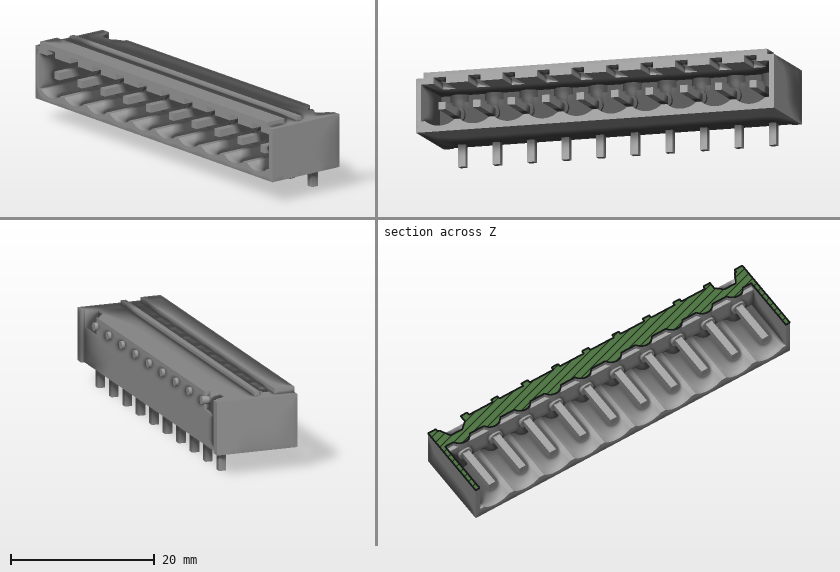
import cadquery as cq


length = 52.7
depth = 12.0
height = 7.7
rear_recess = 0.5
rear_face = depth - rear_recess

pin_count = 10
pin_row_length = 45.75
pitch = pin_row_length / (pin_count - 1)
pin_size = 1.05
pin_height = 3.85
pin_tip = 1.05
leg_axis = 10.0
leg_drop = 3.15

end_wall = 0.75
cavity_floor = 1.6
cavity_top = 6.8
cavity_depth = 8.7
cavity_width = length - 2 * end_wall
scallop_width = 4.3
scallop_depth = 0.8

column_width = 2.75
column_bulge = 0.85
column_radius = ((column_width / 2) ** 2 + column_bulge**2) / (2 * column_bulge)
column_axis = cavity_depth - column_bulge + column_radius
slot_width = 1.75
block_bottom = 2.35
block_top = 5.7
block_front = column_axis - (column_radius**2 - (slot_width / 2) ** 2) ** 0.5
collar_radius = 1.05
collar_rise = 0.2
collar_front = cavity_depth - column_bulge - collar_rise

window_width = 1.85
window_depth = 4.15
strip_inset = 1.05
strip_length = length - 2 * strip_inset
lip_depth = 3.0
lip_height = 0.8
rib_front = 5.2
rib_width = 0.8
rib_height = 0.65

ear_width = 1.35
notch_flat_start = 2.5
notch_flat_end = 4.4
notch_step_start = 5.4
notch_step_end = 5.95
notch_depth = 2.05
notch_step_depth = 1.15
notch_height = 2.65

peg_radius = 0.6
peg_height = 6.45

pin_places = [(i - (pin_count - 1) / 2) * pitch for i in range(pin_count)]
peg_places = [x + pitch / 2 for x in pin_places[:-1]]


def box(x_center, x_size, y_range, z_range):
    """Box centred in X and spanning the given Y and Z ranges."""
    return cq.Workplane("XY").box(
        x_size, y_range[1] - y_range[0], z_range[1] - z_range[0], centered=(True, False, False)
    ).translate((x_center, y_range[0], z_range[0]))


def rod(x, z, radius, y_range):
    """Round rod along Y."""
    plane = cq.Plane(origin=(x, y_range[0], z), xDir=(1, 0, 0), normal=(0, 1, 0))
    return cq.Workplane(plane).circle(radius).extrude(y_range[1] - y_range[0])


def scallop(x):
    """Shallow round trough in the cavity floor below one pin."""
    plane = cq.Plane(origin=(x, 0, cavity_floor), xDir=(1, 0, 0), normal=(0, -1, 0))
    half = scallop_width / 2
    return (
        cq.Workplane(plane)
        .moveTo(-half, 0)
        .threePointArc((0, -scallop_depth), (half, 0))
        .close()
        .extrude(-cavity_depth)
    )


def column(x):
    """Upright column that bulges from the back wall of the cavity behind one pin."""
    half = column_width / 2
    bottom = cavity_floor - scallop_depth
    return (
        cq.Workplane("XY", origin=(x, cavity_depth, bottom))
        .moveTo(-half, 0)
        .threePointArc((0, -column_bulge), (half, 0))
        .close()
        .extrude(cavity_top - bottom)
    )


def pin(x):
    """Square angled pin: horizontal contact with a vertical solder leg."""
    half = pin_size / 2
    contact = box(x, pin_size, (pin_tip, leg_axis + half), (pin_height - half, pin_height + half))
    leg = box(x, pin_size, (leg_axis - half, leg_axis + half), (-leg_drop, pin_height + half))
    return contact.union(leg)


def rear_notch():
    """Notch inboard of the ear at the -X end, with a small inner step."""
    end = -length / 2
    return (
        cq.Workplane("XY", origin=(end, depth, height - notch_height))
        .moveTo(ear_width, 0)
        .lineTo(notch_flat_start, -notch_depth)
        .lineTo(notch_flat_end, -notch_depth)
        .lineTo(notch_step_start, -notch_step_depth)
        .lineTo(notch_step_end, -notch_step_depth)
        .lineTo(notch_step_end, 0)
        .close()
        .extrude(notch_height)
    )


housing = box(0, length, (0, depth), (0, height))
housing = housing.cut(box(0, length - 2 * ear_width, (rear_face, depth), (0, height)))
notch = rear_notch()
housing = housing.cut(notch).cut(notch.mirror("YZ"))

housing = housing.cut(box(0, cavity_width, (0, cavity_depth), (cavity_floor, cavity_top)))
for x in pin_places:
    housing = housing.cut(scallop(x))
    housing = housing.cut(box(x, window_width, (0, window_depth), (cavity_top, height)))

housing = housing.union(box(0, strip_length, (0, lip_depth), (height, height + lip_height)))
housing = housing.union(
    box(0, strip_length, (rib_front, rib_front + rib_width), (height, height + rib_height))
)

block = box(0, cavity_width, (block_front, cavity_depth), (block_bottom, block_top))
result = housing.union(block)
for x in pin_places:
    result = result.union(column(x))
    result = result.union(rod(x, pin_height, collar_radius, (collar_front, cavity_depth)))
    result = result.union(pin(x))

peg_front = depth - notch_step_depth
for x in peg_places:
    result = result.union(rod(x, peg_height, peg_radius, (peg_front, depth)))